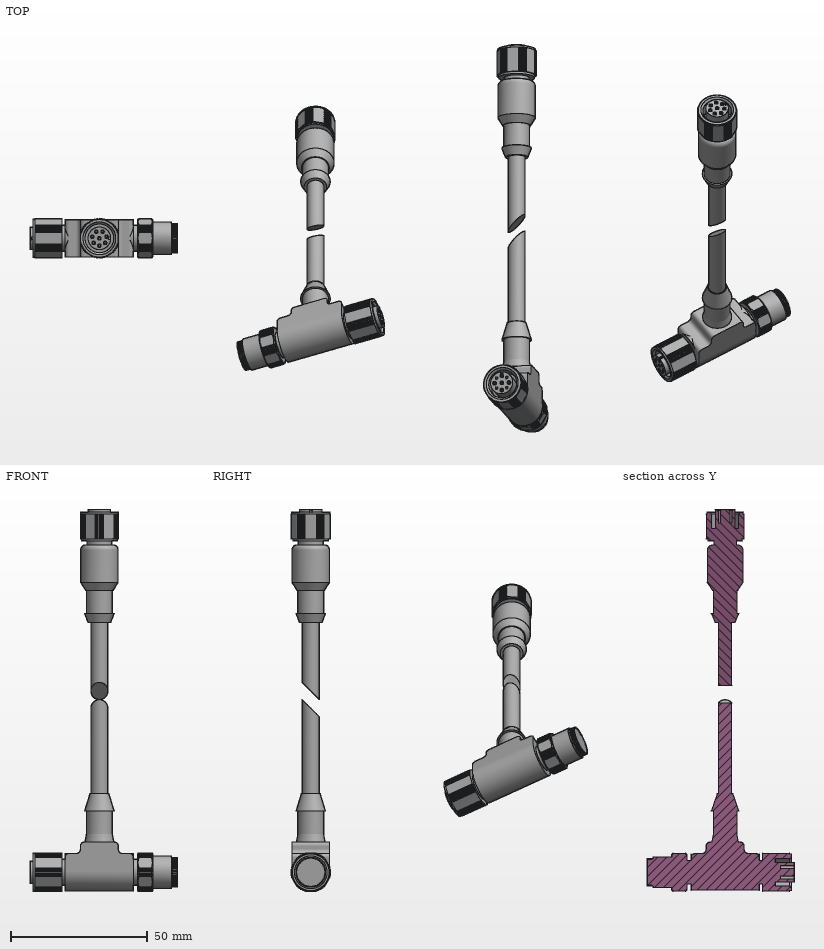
import cadquery as cq
import math

FEMALE_TIP_X = -25.4
TOTAL_LENGTH = 54.0
MALE_TIP_X = FEMALE_TIP_X + TOTAL_LENGTH

GRIP_DIA = 14.51
GRIP_FLAT_SPAN = 14.0
GRIP_SIDES = 6
GROOVE_PITCH_DEG = 7.0
GROOVES_PER_BAND = 4
GROOVE_DEPTH = 0.4
GROOVE_WIDTH = 0.45
COLLAR_DIA = 14.0
NUT_CHAMFER = 0.5

INSERT_DIA = 8.3
INSERT_PROTRUSION = 1.0
NUT_BORE_DIA = 10.5
NUT_MOUTH_DIA = 12.0
SOCKET_RECESS_DEPTH = 6.0
COLLAR_LENGTH = 0.7
CONTACT_RING_DIA = 5.4
CONTACT_MOUTH_DIA = 1.3
CONTACT_MOUTH_DEPTH = 0.5
CONTACT_BORE_DIA = 0.8
CONTACT_DEPTH = 5.0
SIDE_HOLE_DIA = 0.92
KEY_WIDTH = 0.92
KEY_DEPTH = 0.8

TEE_LEFT_X = -12.6
TEE_RIGHT_X = 12.45
TEE_DIA = 13.8
SHOULDER_Z = TEE_DIA / 2
PEDESTAL_WIDTH = 14.0
PEDESTAL_TOP_Z = 11.1
TEE_FILLET = 1.5
RUN_NECK_DIA = 9.6
FEMALE_NUT_INNER_X = -13.7

MALE_NUT_START_X = 13.95
MALE_NUT_LENGTH = 5.7
MALE_SLEEVE_DIA = 12.0
MALE_SLEEVE_END_X = 26.4
MALE_STEP_LENGTH = 0.5
MALE_RIM_DIA = 10.92
RIM_NOTCHES = 36
RIM_NOTCH_WIDTH = 0.45
RIM_NOTCH_DEPTH = 0.3

CABLE_DIA = 6.3
CABLE_CUT_Z = 63.3
STEM_DIA = 9.6
STEM_FLARE_DIA = 10.7
STEM_FLARE_TOP_Z = 13.9
RELIEF_BIG_DIA = 10.92
LOWER_RELIEF_Z = 22.4
LOWER_RELIEF_TOP_Z = 28.8
LOWER_RELIEF_SMALL_DIA = 7.0

TOTAL_HEIGHT = 140.1
UPPER_TIP_Z = TOTAL_HEIGHT - GRIP_FLAT_SPAN / 2
UPPER_NUT_LENGTH = 9.8
UPPER_NUT_RIM_DIA = 13.2
UPPER_NUT_RIM_LENGTH = 0.8
UPPER_NECK_DIA = 9.22
UPPER_BODY_DIA = 13.8
UPPER_BODY_TOP_Z = 120.1
UPPER_BODY_ROUND = 1.95
UPPER_BODY_BOTTOM_Z = 106.3
UPPER_TAPER_BOTTOM_Z = 103.4
UPPER_TAPER_DIA = 10.2
UPPER_RELIEF_TOP_Z = 94.9
UPPER_RELIEF_BOTTOM_Z = 91.5
UPPER_RELIEF_SMALL_DIA = 8.3


def cylinder(diameter, z_from, z_to):
    """Cylinder on the Z axis between two heights."""
    return cq.Workplane("XY").workplane(offset=z_from).circle(diameter / 2).extrude(z_to - z_from)


def cone(bottom_dia, top_dia, z_from, z_to):
    """Truncated cone on the Z axis between two heights."""
    outline = [(0, z_from), (bottom_dia / 2, z_from), (top_dia / 2, z_to), (0, z_to)]
    return cq.Workplane("XZ").polyline(outline).close().revolve(360, (0, 0), (0, 1))


def grip(z_from, z_to):
    """Round grip with six flats and a band of square grooves between neighbouring flats."""
    height = z_to - z_from
    sector = 360 / GRIP_SIDES
    hexagon = (
        cq.Workplane("XY").workplane(offset=z_from)
        .polygon(GRIP_SIDES, GRIP_FLAT_SPAN, circumscribed=True).extrude(height)
    )
    body = cylinder(GRIP_DIA, z_from, z_to).intersect(hexagon)

    groove_root = GRIP_DIA / 2 - GROOVE_DEPTH
    groove_outline = [
        (groove_root, -GROOVE_WIDTH / 2),
        (GRIP_DIA, -GROOVE_WIDTH / 2),
        (GRIP_DIA, GROOVE_WIDTH / 2),
        (groove_root, GROOVE_WIDTH / 2),
    ]
    groove = cq.Workplane("XY").workplane(offset=z_from).polyline(groove_outline).close().extrude(height)
    grooves = cq.Workplane("XY")
    for band in range(GRIP_SIDES):
        for index in range(GROOVES_PER_BAND):
            offset = (index - (GROOVES_PER_BAND - 1) / 2) * GROOVE_PITCH_DEG
            angle = (band + 0.5) * sector + offset
            grooves = grooves.add(groove.rotate((0, 0, 0), (0, 0, 1), angle))
    return body.cut(cq.Compound.makeCompound(grooves.vals()))


def chamfered_grip(z_from, z_to):
    """Grip whose outer edges are bevelled at both ends."""
    middle = cylinder(GRIP_DIA, z_from + NUT_CHAMFER, z_to - NUT_CHAMFER)
    bevel_dia = GRIP_DIA - 2 * NUT_CHAMFER
    lower = cone(bevel_dia, GRIP_DIA, z_from, z_from + NUT_CHAMFER)
    upper = cone(GRIP_DIA, bevel_dia, z_to - NUT_CHAMFER, z_to)
    return grip(z_from, z_to).intersect(middle.union(lower).union(upper))


def holes(places, diameter, depth):
    """Cutters for round holes sunk from the plane of the connector tip."""
    return cq.Workplane("XY").pushPoints(places).circle(diameter / 2).extrude(-depth)


def female_end(nut_length, contact_places):
    """Female connector end with its tip at the origin, facing up the Z axis."""
    nut_top = -INSERT_PROTRUSION
    nut_bottom = nut_top - nut_length
    grip_top = nut_top - COLLAR_LENGTH
    nut = grip(nut_bottom, grip_top).union(cylinder(COLLAR_DIA, grip_top, nut_top))

    recess_floor = nut_top - SOCKET_RECESS_DEPTH
    mouth_depth = (NUT_MOUTH_DIA - NUT_BORE_DIA) / 2
    nut = nut.cut(cylinder(NUT_BORE_DIA, recess_floor, nut_top))
    nut = nut.cut(cone(NUT_BORE_DIA, NUT_MOUTH_DIA, nut_top - mouth_depth, nut_top))

    insert = cylinder(INSERT_DIA, recess_floor, 0)
    mouths = holes(contact_places, CONTACT_MOUTH_DIA, CONTACT_MOUTH_DEPTH)
    bores = holes(contact_places, CONTACT_BORE_DIA, CONTACT_DEPTH)
    key = (
        cq.Workplane("XY").center(INSERT_DIA / 2, 0)
        .rect(2 * KEY_DEPTH, KEY_WIDTH).extrude(-CONTACT_DEPTH)
    )
    return nut.union(insert).cut(mouths).cut(bores).cut(key)


def ring_of_points(count, radius, first_angle):
    """Points spread evenly on a circle about the origin."""
    points = []
    for index in range(count):
        angle = math.radians(first_angle + index * 360 / count)
        points.append((radius * math.cos(angle), radius * math.sin(angle)))
    return points


FIVE_POLE = [(0, 0), *ring_of_points(4, CONTACT_RING_DIA / 2, 0)]
FIVE_POLE_SIDE_HOLES = ring_of_points(4, CONTACT_RING_DIA / 2, 45)
EIGHT_POLE = [(0, 0), *ring_of_points(7, CONTACT_RING_DIA / 2, -90)]


def cable(front_heights, back_heights):
    """Cable on the Z axis; the (bottom, top) heights are those of its -Y edge and its +Y edge."""
    radius = CABLE_DIA / 2
    outline = [
        (-radius, front_heights[0]),
        (radius, back_heights[0]),
        (radius, back_heights[1]),
        (-radius, front_heights[1]),
    ]
    side_profile = cq.Workplane("YZ").polyline(outline).close().extrude(radius, both=True)
    lowest = min(front_heights[0], back_heights[0])
    highest = max(front_heights[1], back_heights[1])
    return cylinder(CABLE_DIA, lowest, highest).intersect(side_profile)


def along_x(shape, x_position):
    """Lay a shape on the X axis with its origin at x_position and its top facing +X."""
    return shape.rotate((0, 0, 0), (0, 1, 0), 90).translate((x_position, 0, 0))


def tee_housing():
    """Moulded tee: round bottom, flat sides, stepped top with rounded corners."""
    half_pedestal = PEDESTAL_WIDTH / 2
    bottom = along_x(cylinder(TEE_DIA, TEE_LEFT_X, TEE_RIGHT_X), 0)
    outline = [
        (TEE_LEFT_X, 0),
        (TEE_LEFT_X, SHOULDER_Z),
        (-half_pedestal, SHOULDER_Z),
        (-half_pedestal, PEDESTAL_TOP_Z),
        (half_pedestal, PEDESTAL_TOP_Z),
        (half_pedestal, SHOULDER_Z),
        (TEE_RIGHT_X, SHOULDER_Z),
        (TEE_RIGHT_X, 0),
    ]
    top = cq.Workplane("XZ").polyline(outline).close().extrude(TEE_DIA / 2, both=True)
    upper_corners = cq.selectors.BoxSelector(
        (2 * TEE_LEFT_X, -TEE_DIA, SHOULDER_Z / 2),
        (2 * TEE_RIGHT_X, TEE_DIA, 2 * PEDESTAL_TOP_Z),
    )
    top = top.edges("|Y").edges(upper_corners).fillet(TEE_FILLET)
    return bottom.union(top)


def male_end():
    """Male connector end with its tip at the origin, facing up the Z axis."""
    nut_bottom = MALE_NUT_START_X - MALE_TIP_X
    nut_top = nut_bottom + MALE_NUT_LENGTH
    sleeve_end = MALE_SLEEVE_END_X - MALE_TIP_X
    rim_start = sleeve_end + MALE_STEP_LENGTH
    nut = chamfered_grip(nut_bottom, nut_top)
    sleeve = cylinder(MALE_SLEEVE_DIA, nut_top, sleeve_end)
    rim = cylinder(MALE_RIM_DIA, sleeve_end, 0)
    notch = (
        cq.Workplane("XY").workplane(offset=rim_start).center(MALE_RIM_DIA / 2, 0)
        .rect(2 * RIM_NOTCH_DEPTH, RIM_NOTCH_WIDTH).extrude(-rim_start)
    )
    for index in range(RIM_NOTCHES):
        rim = rim.cut(notch.rotate((0, 0, 0), (0, 0, 1), index * 360 / RIM_NOTCHES))
    return nut.union(sleeve).union(rim)


def tee_assembly():
    """Tee housing with its male end, female end and the lower cable stub."""
    female_nut_length = FEMALE_NUT_INNER_X - FEMALE_TIP_X - INSERT_PROTRUSION
    female = female_end(female_nut_length, FIVE_POLE)
    female = female.cut(holes(FIVE_POLE_SIDE_HOLES, SIDE_HOLE_DIA, CONTACT_DEPTH))
    female = female.rotate((0, 0, 0), (0, 1, 0), -90).translate((FEMALE_TIP_X, 0, 0))
    necks = along_x(cylinder(RUN_NECK_DIA, FEMALE_NUT_INNER_X, MALE_NUT_START_X), 0)
    body = tee_housing().union(necks).union(female).union(along_x(male_end(), MALE_TIP_X))

    body = body.union(cone(STEM_FLARE_DIA, STEM_DIA, PEDESTAL_TOP_Z, STEM_FLARE_TOP_Z))
    body = body.union(cylinder(STEM_DIA, STEM_FLARE_TOP_Z, LOWER_RELIEF_Z))
    body = body.union(cone(RELIEF_BIG_DIA, LOWER_RELIEF_SMALL_DIA, LOWER_RELIEF_Z, LOWER_RELIEF_TOP_Z))
    stub = cable((LOWER_RELIEF_TOP_Z, CABLE_CUT_Z), (LOWER_RELIEF_TOP_Z, CABLE_CUT_Z - CABLE_DIA))
    return body.union(stub)


def upper_shell():
    """Moulded connector shell: domed shoulder, barrel and taper."""
    barrel = cylinder(UPPER_BODY_DIA, UPPER_BODY_BOTTOM_Z, UPPER_BODY_TOP_Z)
    barrel = barrel.faces(">Z").edges().fillet(UPPER_BODY_ROUND)
    taper = cone(UPPER_TAPER_DIA, UPPER_BODY_DIA, UPPER_TAPER_BOTTOM_Z, UPPER_BODY_BOTTOM_Z)
    return barrel.union(taper)


def upper_connector():
    """Upper cable stub with strain relief, shell and female end."""
    nut_bottom = UPPER_TIP_Z - INSERT_PROTRUSION - UPPER_NUT_LENGTH
    body = cable(
        (CABLE_CUT_Z + CABLE_DIA, UPPER_RELIEF_BOTTOM_Z),
        (CABLE_CUT_Z, UPPER_RELIEF_BOTTOM_Z),
    )
    body = body.union(
        cone(UPPER_RELIEF_SMALL_DIA, RELIEF_BIG_DIA, UPPER_RELIEF_BOTTOM_Z, UPPER_RELIEF_TOP_Z)
    )
    body = body.union(cylinder(STEM_DIA, UPPER_RELIEF_TOP_Z, UPPER_TAPER_BOTTOM_Z))
    body = body.union(upper_shell())
    body = body.union(cylinder(UPPER_NECK_DIA, UPPER_BODY_TOP_Z, nut_bottom))
    body = body.union(cylinder(UPPER_NUT_RIM_DIA, nut_bottom - UPPER_NUT_RIM_LENGTH, nut_bottom))
    return body.union(female_end(UPPER_NUT_LENGTH, EIGHT_POLE).translate((0, 0, UPPER_TIP_Z)))


tee = tee_assembly()
connector = upper_connector()
result = cq.Compound.makeCompound([tee.val(), connector.val()])